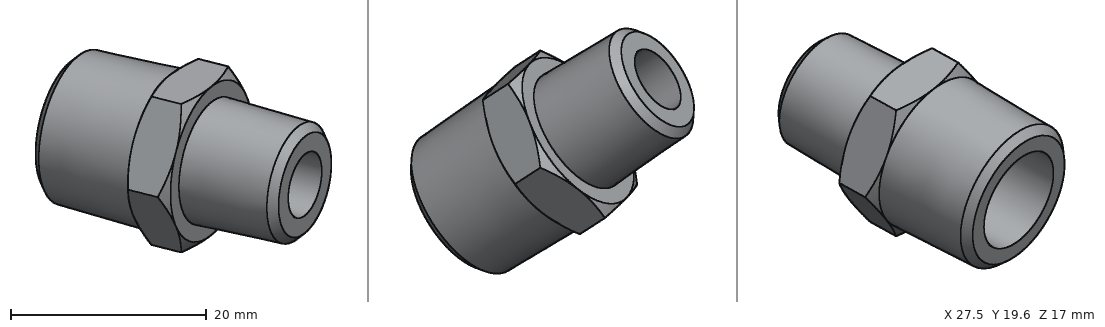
import cadquery as cq
import math

total_length = 27.5
hex_start = 11.5
hex_end = 16.5
hex_across_flats = 17.0
hex_sides = 6
hex_corner_diameter = hex_across_flats / math.cos(math.pi / hex_sides)
hex_chamfer_angle = 30.0

thread_taper = 1 / 16
large_gauge_diameter = 16.66
large_gauge_length = 6.32
small_gauge_diameter = 13.15
small_gauge_length = 6.0
end_chamfer = 0.88

large_bore_diameter = 11.0
small_bore_diameter = 7.0
large_bore_depth = hex_start
bore_cone_angle = 45.0


def revolve_about_x(profile):
    """Revolve (x, radius) points about the X axis."""
    return cq.Workplane("XY").polyline(profile).close().revolve(360, (0, 0), (1, 0))


def thread_radius(gauge_diameter, gauge_length, distance_from_end):
    """Radius of a tapered body at a distance from its open end."""
    return (gauge_diameter + thread_taper * (distance_from_end - gauge_length)) / 2


def thread_body(gauge_diameter, gauge_length, end_x, root_x):
    """Tapered body with a 45 degree chamfer at its open end."""
    inward = math.copysign(1, root_x - end_x)
    chamfer_radius = thread_radius(gauge_diameter, gauge_length, end_chamfer)
    root_radius = thread_radius(gauge_diameter, gauge_length, abs(root_x - end_x))
    return revolve_about_x([
        (end_x, 0),
        (end_x, chamfer_radius - end_chamfer),
        (end_x + inward * end_chamfer, chamfer_radius),
        (root_x, root_radius),
        (root_x, 0),
    ])


def hexagon():
    """Hexagon with corners on the Y axis, both ends chamfered to a circle touching the flats."""
    prism = (
        cq.Workplane("YZ", origin=(hex_start, 0, 0))
        .polygon(hex_sides, hex_corner_diameter)
        .extrude(hex_end - hex_start)
    )
    flat_radius = hex_across_flats / 2
    corner_radius = hex_corner_diameter / 2
    chamfer_length = (corner_radius - flat_radius) * math.tan(math.radians(hex_chamfer_angle))
    envelope = revolve_about_x([
        (hex_start, 0),
        (hex_start, flat_radius),
        (hex_start + chamfer_length, corner_radius),
        (hex_end - chamfer_length, corner_radius),
        (hex_end, flat_radius),
        (hex_end, 0),
    ])
    return prism.intersect(envelope)


def bore():
    """Stepped through bore with a conical transition."""
    large_radius = large_bore_diameter / 2
    small_radius = small_bore_diameter / 2
    cone_length = (large_radius - small_radius) / math.tan(math.radians(bore_cone_angle))
    return revolve_about_x([
        (0, 0),
        (0, large_radius),
        (large_bore_depth, large_radius),
        (large_bore_depth + cone_length, small_radius),
        (total_length, small_radius),
        (total_length, 0),
    ])


large_thread = thread_body(large_gauge_diameter, large_gauge_length, 0, hex_start)
small_thread = thread_body(small_gauge_diameter, small_gauge_length, total_length, hex_end)
result = hexagon().union(large_thread).union(small_thread).cut(bore())